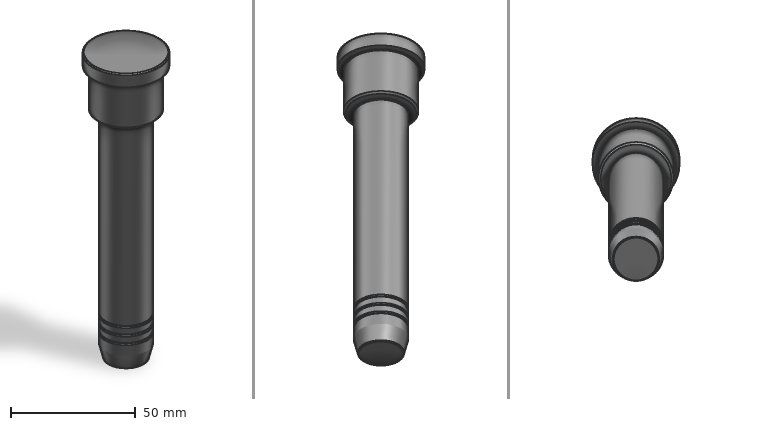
import cadquery as cq

length = 142.0
head_diameter = 35.0
head_height = 6.1
head_chamfer = 0.5

collar_diameter = 30.0
collar_bottom_z = 114.9
collar_top_chamfer = 0.9
collar_bottom_chamfer = 0.9

shaft_diameter = 22.0
relief_depth = 0.4
relief_height = 0.9

groove_count = 3
lowest_groove_z = 12.6
groove_pitch = 4.0
groove_width = 1.1
groove_depth = 0.4

tip_height = 7.1
tip_diameter = 18.6
tip_chamfer = 0.4

head_bottom_z = length - head_height
shaft_radius = shaft_diameter / 2


def cylinder(diameter, bottom_z, top_z):
    return cq.Workplane("XY").workplane(offset=bottom_z).circle(diameter / 2).extrude(top_z - bottom_z)


def revolve_profile(points):
    """Revolve a closed (radius, z) outline about the Z axis."""
    return cq.Workplane("XZ").polyline(points).close().revolve(360, (0, 0, 0), (0, 1, 0))


def make_head():
    return cylinder(head_diameter, head_bottom_z, length).faces(">Z").chamfer(head_chamfer)


def make_collar():
    collar = cylinder(collar_diameter, collar_bottom_z, head_bottom_z)
    collar = collar.faces(">Z").chamfer(collar_top_chamfer)
    return collar.faces("<Z").chamfer(collar_bottom_chamfer)


def make_shaft():
    return revolve_profile([
        (0, 0),
        (tip_diameter / 2 - tip_chamfer, 0),
        (tip_diameter / 2, tip_chamfer),
        (shaft_radius, tip_height),
        (shaft_radius, collar_bottom_z - relief_height),
        (shaft_radius - relief_depth, collar_bottom_z),
        (0, collar_bottom_z),
    ])


def make_groove(center_z):
    return revolve_profile([
        (shaft_radius, center_z - groove_width / 2),
        (shaft_radius - groove_depth, center_z),
        (shaft_radius, center_z + groove_width / 2),
    ])


result = make_shaft().union(make_collar()).union(make_head())
for index in range(groove_count):
    result = result.cut(make_groove(lowest_groove_z + index * groove_pitch))